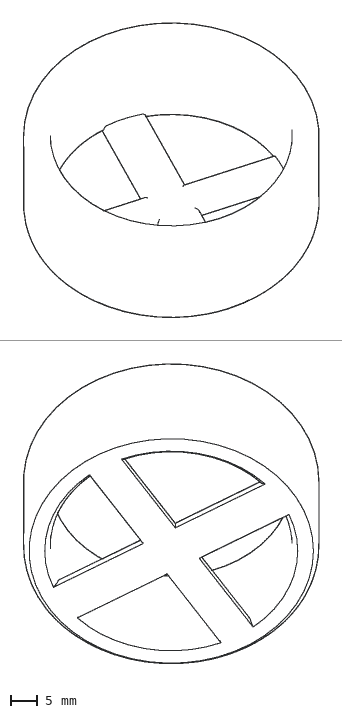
import cadquery as cq

outer_diameter = 55.0
bore_diameter = 45.0
height = 22.0
top_round = 1.0

bottom_chamfer = 1.05
bottom_blend = 1.2

x_spoke_width = 8.45
y_spoke_width = 7.05
spoke_thickness = 2.0
spoke_round = 0.75

spoke_length = (outer_diameter + bore_diameter) / 2


def make_ring():
    ring = (
        cq.Workplane("XY")
        .circle(outer_diameter / 2)
        .circle(bore_diameter / 2)
        .extrude(height)
    )
    ring = ring.faces(">Z").edges().fillet(top_round)
    ring = ring.faces("<Z").edges().chamfer(bottom_chamfer)
    blend_band = cq.selectors.BoxSelector(
        (-outer_diameter, -outer_diameter, bottom_chamfer / 2),
        (outer_diameter, outer_diameter, bottom_chamfer * 1.5),
    )
    return ring.edges("%CIRCLE").edges(blend_band).fillet(bottom_blend)


def make_spoke(size_x, size_y):
    return cq.Workplane("XY").box(size_x, size_y, spoke_thickness, centered=(True, True, False))


def make_cross():
    cross = make_spoke(spoke_length, x_spoke_width).union(make_spoke(y_spoke_width, spoke_length))
    return cross.faces(">Z").edges().fillet(spoke_round)


result = make_ring().union(make_cross())